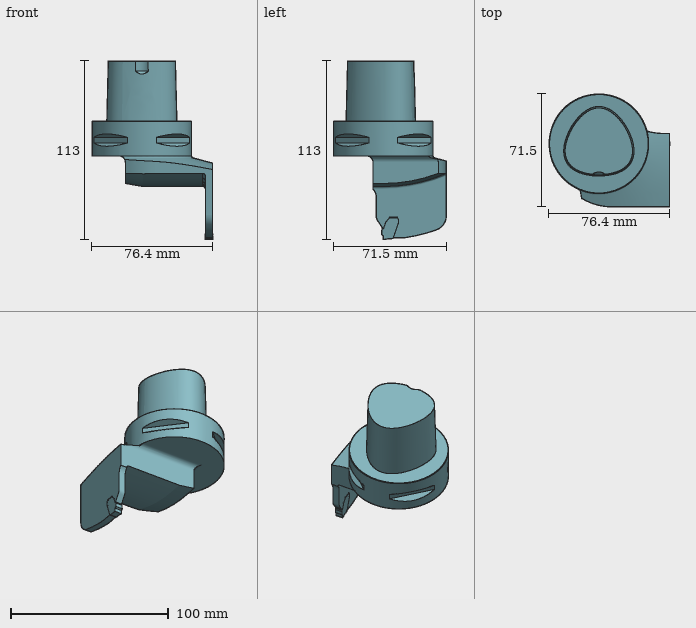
import cadquery as cq
import math


shank_length = 38.0
shank_mean_radius = 22.0
lobe_height = 1.6
taper_on_diameter = 1 / 20
radius_taper = shank_length * taper_on_diameter / 2
shank_faces = 6

notch_radius = 6.0
notch_center_y = -23.8
notch_depth = 6.3
notch_point_angle = 90

flange_radius = 31.5
flange_height = 22.0
flange_chamfer = 0.3
slot_z = -12.0
slot_floor_width = 3.5
slot_floor_radius = 27.8
slot_flank_angle = 30
slot_angles = [45, 135, 225, 315]

arm_left = -10.5
arm_back = 6.5
arm_front = -40.0
arm_reach = 2 * abs(arm_front)
blade_right = 44.7
flare_radius = 4.0
flare_start_z = -flange_height - flare_radius
flare_middle = flare_radius * (1 - math.sqrt(0.5))
corner_tangent_x = 8.5
corner_radius = 37.3
cone_angle = 15
cone_start_drop = 0.9
cone_fillet = 1.1
cone_outer_radius = 67.8
underside_z = -41.4
underside_radius = 100.0
underside_tilt = 10
tilt_start_x = 0.5

blade_thickness = 4.5
blade_left = blade_right - blade_thickness
blade_root_fillet = 1.7
blade_root_z = -32.2
selection_margin = 0.1
blade_back = 4.5
relief_top_z = -42.9
relief_bottom_z = -48.0
blade_bottom_z = -73.8
heel_y = -13.8
belly_point = (-25.0, -71.5)
blade_corner = (arm_front, -66.3)
blade_corner_fillet = 10.0
nose_start_z = -61.6
nose_end = (0.7, -67.5)
nose_fillet = 5.0

insert_end_z = -61.1
insert_end_back = -4.0
insert_end_front = -8.9
insert_end_gap = 0.3
front_side_y = -9.5
front_side_top_z = -62.2
front_side_bottom_z = -64.6
insert_heel = (-6.4, -73.6)
insert_heel_corner = (-5.9, -74.4)
relief_line_end = (-2.6, -74.6)
cutting_tip = (0.1, -75.0)
rake_step_bottom = (cutting_tip[0], -72.5)
rake_step_top = (1.0, -71.8)
relief_line_start = (rake_step_top[0], -69.0)
back_notch_outer = (0.7, -68.1)
back_notch_inner = (-0.1, -68.0)
back_shoulder = (-1.6, -63.8)
tip_side_overhang = 0.2


def shank_wire(mean_radius, z):
    """Closed three-lobed outline, one curve for each of the six shank faces."""

    def outline_point(angle):
        x = mean_radius * math.sin(angle) - lobe_height * math.sin(2 * angle)
        y = mean_radius * math.cos(angle) + lobe_height * math.cos(2 * angle)
        return (x, y, z)

    face_span = 2 * math.pi / shank_faces
    edges = []
    for face in range(shank_faces):
        start = (face + 0.5) * face_span
        curve = cq.Workplane("XY").parametricCurve(
            outline_point, N=20, start=start, stop=start + face_span, makeWire=False
        )
        edges.append(curve.val())
    return cq.Wire.assembleEdges(edges)


def make_shank():
    base = shank_wire(shank_mean_radius, 0)
    end = shank_wire(shank_mean_radius - radius_taper, shank_length)
    shank = cq.Workplane(cq.Solid.makeLoft([base, end], True))

    shoulder_z = shank_length - notch_depth
    cone_depth = notch_radius / math.tan(math.radians(notch_point_angle / 2))
    drill = (
        cq.Workplane("XZ", origin=(0, notch_center_y, 0))
        .moveTo(0, shank_length)
        .lineTo(notch_radius, shank_length)
        .lineTo(notch_radius, shoulder_z)
        .lineTo(0, shoulder_z - cone_depth)
        .close()
        .revolve(360, (0, 0), (0, 1))
    )
    return shank.cut(drill)


def make_flange():
    flange = (
        cq.Workplane("XY")
        .circle(flange_radius)
        .extrude(-flange_height)
        .faces(">Z")
        .edges()
        .chamfer(flange_chamfer)
    )
    slot_depth = flange_radius - slot_floor_radius
    half_floor = slot_floor_width / 2
    half_mouth = half_floor + slot_depth * math.tan(math.radians(slot_flank_angle))
    slot = (
        cq.Workplane("XZ")
        .polyline([
            (slot_floor_radius, slot_z - half_floor),
            (flange_radius, slot_z - half_mouth),
            (flange_radius, slot_z + half_mouth),
            (slot_floor_radius, slot_z + half_floor),
        ])
        .close()
        .extrude(flange_radius, both=True)
    )
    for angle in slot_angles:
        flange = flange.cut(slot.rotate((0, 0, 0), (0, 0, 1), angle))
    return flange


def underside_z_at(y):
    return underside_z + underside_radius - math.sqrt(underside_radius**2 - y**2)


def arm_side_profile():
    """Outline in Y and Z: flared back edge and straight front."""
    return (
        cq.Workplane("YZ", origin=(arm_left - flare_radius, 0, 0))
        .moveTo(arm_front, -flange_height)
        .lineTo(arm_back + flare_radius, -flange_height)
        .threePointArc(
            (arm_back + flare_middle, -flange_height - flare_middle),
            (arm_back, flare_start_z),
        )
        .lineTo(arm_back, underside_z)
        .lineTo(arm_front, underside_z)
        .close()
        .extrude(blade_right - arm_left + flare_radius)
    )


def arm_end_profile():
    """Outline in X and Z with the flared left edge."""
    return (
        cq.Workplane("XZ")
        .moveTo(blade_right, -flange_height)
        .lineTo(arm_left - flare_radius, -flange_height)
        .threePointArc(
            (arm_left - flare_middle, -flange_height - flare_middle),
            (arm_left, flare_start_z),
        )
        .lineTo(arm_left, underside_z)
        .lineTo(blade_right, underside_z)
        .close()
        .extrude(arm_reach, both=True)
    )


def arm_plan():
    """Outline in X and Y with the broad arc at the front left corner."""
    left = arm_left - flare_radius
    back = arm_back + flare_radius

    def corner_y(x):
        offset = corner_tangent_x - x
        return arm_front + corner_radius - math.sqrt(corner_radius**2 - offset**2)

    middle_x = (left + corner_tangent_x) / 2
    return (
        cq.Workplane("XY", origin=(0, 0, underside_z))
        .moveTo(blade_right, back)
        .lineTo(blade_right, arm_front)
        .lineTo(corner_tangent_x, arm_front)
        .threePointArc((middle_x, corner_y(middle_x)), (left, corner_y(left)))
        .lineTo(left, back)
        .close()
        .extrude(-flange_height - underside_z)
    )


def arm_cone():
    """Region under the conical upper face, filleted where the cone meets the flange cylinder."""
    slope = math.radians(cone_angle)
    cone_start_z = -flange_height - cone_start_drop
    cone_drop = (cone_outer_radius - flange_radius) * math.tan(slope)
    tangent_length = cone_fillet * math.tan((math.pi / 2 - slope) / 2)
    fillet_end_radius = flange_radius + tangent_length * math.cos(slope)
    fillet_end_z = cone_start_z - tangent_length * math.sin(slope)
    return (
        cq.Workplane("XZ")
        .moveTo(0, -flange_height)
        .lineTo(flange_radius, -flange_height)
        .lineTo(flange_radius, cone_start_z + tangent_length)
        .tangentArcPoint((fillet_end_radius, fillet_end_z), relative=False)
        .lineTo(cone_outer_radius, cone_start_z - cone_drop)
        .lineTo(cone_outer_radius, underside_z)
        .lineTo(0, underside_z)
        .close()
        .revolve(360, (0, 0), (0, 1))
    )


def underside_clearance():
    """Region below the arm, flat at the back and rising in an arc toward the front."""
    return (
        cq.Workplane("YZ")
        .moveTo(-arm_front, underside_z)
        .lineTo(0, underside_z)
        .threePointArc(
            (arm_front / 2, underside_z_at(arm_front / 2)),
            (arm_front, underside_z_at(arm_front)),
        )
        .lineTo(arm_front, underside_z - arm_reach)
        .lineTo(-arm_front, underside_z - arm_reach)
        .close()
        .extrude(arm_reach, both=True)
    )


def make_arm():
    arm = arm_side_profile().intersect(arm_end_profile()).intersect(arm_plan()).intersect(arm_cone())
    level = underside_clearance()
    tilted = (
        level
        .rotate((0, 0, underside_z), (0, 1, underside_z), underside_tilt)
        .translate((tilt_start_x, 0, 0))
    )
    return arm.cut(level).cut(tilted)


def make_blade():
    """Plate with a curved belly, a concave back relief and a slanted nose."""
    relief_depth = arm_back - blade_back
    relief_height = relief_top_z - relief_bottom_z
    relief_radius = (relief_depth**2 + relief_height**2) / (2 * relief_depth)
    relief_middle_z = relief_bottom_z + relief_height / 2
    relief_middle_y = (
        blade_back + relief_radius - math.sqrt(relief_radius**2 - (relief_height / 2) ** 2)
    )
    blade = (
        cq.Workplane("YZ", origin=(blade_left, 0, 0))
        .moveTo(arm_front, blade_root_z)
        .lineTo(arm_back, blade_root_z)
        .lineTo(arm_back, relief_top_z)
        .threePointArc((relief_middle_y, relief_middle_z), (blade_back, relief_bottom_z))
        .lineTo(blade_back, nose_start_z)
        .lineTo(*nose_end)
        .lineTo(insert_heel[0], blade_bottom_z)
        .lineTo(heel_y, blade_bottom_z)
        .threePointArc(belly_point, blade_corner)
        .close()
        .extrude(blade_thickness)
    )
    middle_x = blade_left + blade_thickness / 2
    corner_edge = cq.selectors.NearestToPointSelector((middle_x, *blade_corner))
    nose_edge = cq.selectors.NearestToPointSelector((middle_x, blade_back, nose_start_z))
    blade = blade.edges(corner_edge).fillet(blade_corner_fillet)
    return blade.edges(nose_edge).fillet(nose_fillet)


def insert_prism(left, thickness):
    """Insert outline extruded along X."""
    return (
        cq.Workplane("YZ", origin=(left, 0, 0))
        .polyline([
            (insert_end_back, insert_end_z),
            (insert_end_front, insert_end_z),
            (front_side_y, front_side_top_z),
            (front_side_y, front_side_bottom_z),
            insert_heel,
            insert_heel_corner,
            relief_line_end,
            cutting_tip,
            rake_step_bottom,
            rake_step_top,
            relief_line_start,
            back_notch_outer,
            back_notch_inner,
            back_shoulder,
        ])
        .close()
        .extrude(thickness)
    )


def make_insert():
    """Insert whose cutting tip widens on both sides, from the relief line to the tip."""
    line_y = relief_line_end[0] - relief_line_start[0]
    line_z = relief_line_end[1] - relief_line_start[1]
    tip_y = cutting_tip[0] - relief_line_start[0]
    tip_z = cutting_tip[1] - relief_line_start[1]
    line_length = math.hypot(line_y, line_z)
    tip_distance = abs(line_y * tip_z - line_z * tip_y) / line_length

    half_width = blade_thickness / 2
    blade_middle = blade_left + half_width
    across_line = cq.Plane(
        origin=(blade_middle, *relief_line_start), xDir=(1, 0, 0), normal=(0, -line_y, -line_z)
    )
    wedge = (
        cq.Workplane(across_line)
        .polyline([
            (-half_width, 0),
            (half_width, 0),
            (half_width + tip_side_overhang, tip_distance),
            (-half_width - tip_side_overhang, tip_distance),
        ])
        .close()
        .extrude(2 * line_length, both=True)
    )
    wide_outline = insert_prism(blade_left - tip_side_overhang, blade_thickness + 2 * tip_side_overhang)
    tip = wide_outline.intersect(wedge)
    return insert_prism(blade_left, blade_thickness).union(tip)


def insert_end_clearance():
    """Narrow gap between the inner end of the insert and the blade."""
    return cq.Workplane("XY").box(
        blade_thickness, insert_end_back - insert_end_front, insert_end_gap, centered=False
    ).translate((blade_left, insert_end_front, insert_end_z))


def make_holder():
    """Shank, flange, arm and blade as one solid, with the pocket for the insert."""
    holder = make_shank().union(make_flange()).union(make_arm()).union(make_blade())
    root_edges = cq.selectors.BoxSelector(
        (blade_left - selection_margin, arm_front - selection_margin, underside_z - selection_margin),
        (blade_left + selection_margin, arm_back + selection_margin, blade_root_z),
        boundingbox=True,
    )
    holder = holder.edges(root_edges).fillet(blade_root_fillet)
    return holder.cut(insert_prism(blade_left, blade_thickness)).cut(insert_end_clearance())


holder = make_holder()
insert = make_insert()
result = cq.Compound.makeCompound([holder.solids().val(), insert.solids().val()])